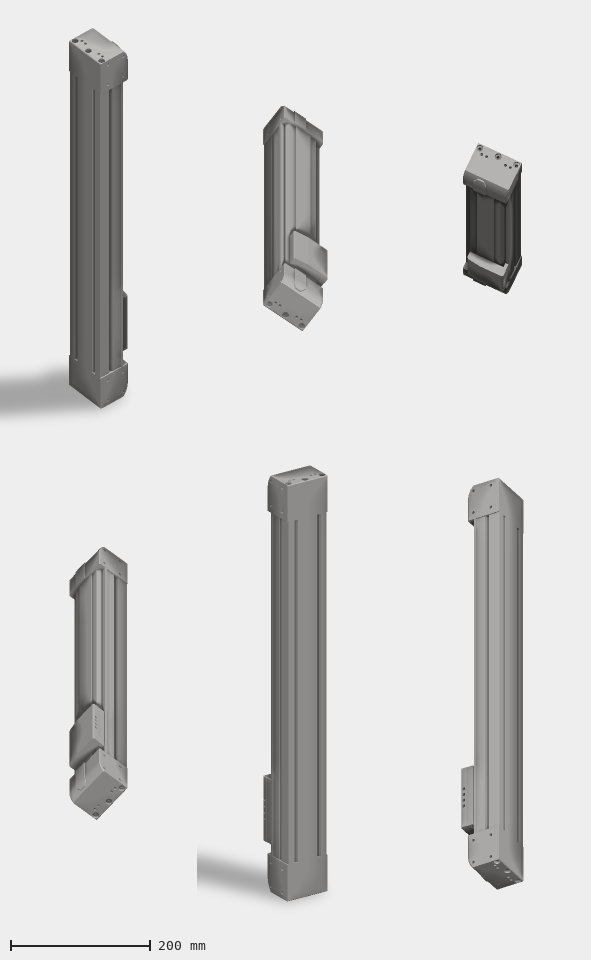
import cadquery as cq

LENGTH = 646.0
WIDTH = 69.0
HALF_WIDTH = WIDTH / 2

BLOCK_LENGTH = 57.0
BLOCK_DEPTH = 52.5
BLOCK_END_DEPTH = 44.5
NOSE_LENGTH = 19.5
NOSE_RADIUS = 32.0
BACK_CHAMFER = 1.0
FRONT_CHAMFER = 1.0

PAD_X = 8.0
PAD_WIDTH = 19.5
PAD_TIP_WIDTH = 10.0
PAD_START = 3.0
PAD_TAPER_END = 10.5
PAD_HEIGHT = 2.0

COVER_DIAMETER = 38.0
COVER_THICKNESS = 6.5
COVER_Y = 28.5
COVER_FROM_END = 27.0
COVER_HOLE_DIAMETER = 4.5
COVER_HOLE_DEPTH = 6.5
COVER_HOLE_SPACING_Y = 29.0
COVER_HOLE_SPACING_Z = 37.0

END_SCREW_SPACING = 29.0
END_SCREW_Y = 6.5
END_SCREW_DIAMETER = 4.5
END_SCREW_DEPTH = 16.0
END_SCREW_HEAD_DIAMETER = 10.0
END_SCREW_HEAD_DEPTH = 5.0
PORT_X = (15.0, 22.5)
PORT_Y = 13.5
PORT_DIAMETER = 4.15
PORT_DEPTH = 6.5

PROFILE_LENGTH = LENGTH - 2 * BLOCK_LENGTH
PROFILE_HALF_WIDTH = 33.0
LIP_Y = 39.0
LIP_THICKNESS = 3.0
LIP_TOP = LIP_Y + LIP_THICKNESS
DECK_Y = 48.5
DECK_HALF_WIDTH = 27.0
DECK_CHAMFER = 4.0
SLOT_WIDTH = 6.5
SLOT_DEPTH = 2.0
SLOT_CORE_WIDTH = 3.0
SLOT_CORE_DEPTH = 4.0
FRONT_SLOT_X = 19.5
SIDE_SLOT_Y = 20.5

BAND_WIDTH = 26.0
BAND_THICKNESS = 2.0
BAND_TOP = DECK_Y + BAND_THICKNESS

CARRIAGE_LENGTH = 99.5
CARRIAGE_Z = 123.5
CARRIAGE_TOP = 64.0
CARRIAGE_RIGHT = 24.0
SLOPE_START_X = 2.0
SLOPE_END_X = 21.0
SLOPE_END_Y = 61.5
RIGHT_EDGE_TOP = 59.5
FLANK_CHAMFER = 2.0
FLANK_STEP_Y = 54.0
FLANK_STEP = 0.5
FLANK_BOTTOM = 44.0
FLANK_INNER_X = -29.0
SIDE_HOLE_COUNT = 4
SIDE_HOLE_PITCH = 10.0
SIDE_HOLE_Y = 59.0
SIDE_HOLE_DIAMETER = 5.0
SIDE_HOLE_DEPTH = 6.5


def mirrored_to_top(body):
    """Reflect a body of the lower end to the upper end."""
    return body.mirror("XY").translate((0, 0, LENGTH))


def x_cylinder(diameter, x_start, length, y, z):
    """Cylinder along X from x_start; a negative length runs towards -X."""
    return cq.Workplane("YZ", origin=(x_start, y, z)).circle(diameter / 2).extrude(length)


def end_hole(diameter, depth, x, y):
    """Cutter for a hole rising from the outer face of the lower end block."""
    return cq.Workplane("XY", origin=(x, y, 0)).circle(diameter / 2).extrude(depth)


def block_blank(growth):
    """Lower end block without holes, its rounded back moved out by growth."""
    back = BLOCK_DEPTH + growth
    end_back = BLOCK_END_DEPTH + growth
    return (
        cq.Workplane("YZ")
        .lineTo(end_back, 0)
        .radiusArc((back, NOSE_LENGTH), -NOSE_RADIUS)
        .lineTo(back, BLOCK_LENGTH)
        .lineTo(0, BLOCK_LENGTH)
        .close()
        .extrude(HALF_WIDTH, both=True)
    )


def block_pad():
    """Raised strip on the back of the lower end block, narrowing towards the end."""
    outline = (
        cq.Workplane("XZ", origin=(PAD_X, BLOCK_END_DEPTH / 2, 0))
        .moveTo(-PAD_TIP_WIDTH / 2, PAD_START)
        .lineTo(PAD_TIP_WIDTH / 2, PAD_START)
        .lineTo(PAD_WIDTH / 2, PAD_TAPER_END)
        .lineTo(PAD_WIDTH / 2, BLOCK_LENGTH)
        .lineTo(-PAD_WIDTH / 2, BLOCK_LENGTH)
        .lineTo(-PAD_WIDTH / 2, PAD_TAPER_END)
        .close()
        .extrude(-BLOCK_DEPTH)
    )
    return block_blank(PAD_HEIGHT).intersect(outline)


def cover_holes(side):
    """Cutters for the four screw holes around the bearing cover on one side (-1 or 1)."""
    return [
        x_cylinder(
            COVER_HOLE_DIAMETER,
            side * HALF_WIDTH,
            -side * COVER_HOLE_DEPTH,
            COVER_Y + y_sign * COVER_HOLE_SPACING_Y / 2,
            COVER_FROM_END + z_sign * COVER_HOLE_SPACING_Z / 2,
        )
        for y_sign in (-1, 1)
        for z_sign in (-1, 1)
    ]


def make_block():
    """Lower end block with recesses for its two bearing covers."""
    block = block_blank(0)
    back_box = cq.selectors.BoxSelector(
        (-WIDTH, BLOCK_END_DEPTH, 0),
        (WIDTH, WIDTH, BLOCK_LENGTH),
    )
    block = block.faces("<X or >X").edges(back_box).chamfer(BACK_CHAMFER)
    block = block.faces("<Y").edges("<Z").chamfer(FRONT_CHAMFER)
    block = block.union(block_pad())

    for cover in make_covers():
        block = block.cut(cover)

    for side in (-1, 1):
        for hole in cover_holes(side):
            block = block.cut(hole)
        for x in PORT_X:
            block = block.cut(end_hole(PORT_DIAMETER, PORT_DEPTH, side * x, PORT_Y))

    for x in (-END_SCREW_SPACING, 0, END_SCREW_SPACING):
        block = block.cut(end_hole(END_SCREW_HEAD_DIAMETER, END_SCREW_HEAD_DEPTH, x, END_SCREW_Y))
        block = block.cut(end_hole(END_SCREW_DIAMETER, END_SCREW_DEPTH, x, END_SCREW_Y))
    return block


def make_covers():
    """Two bearing covers of the lower end block, flush with its sides."""
    return [
        x_cylinder(
            COVER_DIAMETER, side * HALF_WIDTH, -side * COVER_THICKNESS, COVER_Y, COVER_FROM_END
        )
        for side in (-1, 1)
    ]


def slot_cutter(out_x, out_y, x, y):
    """Stepped slot along the profile; out_x and out_y point out of the slot mouth."""
    plane = cq.Plane(
        origin=(x, y, BLOCK_LENGTH), xDir=(out_x, out_y, 0), normal=(0, 0, 1)
    )
    mouth = cq.Workplane(plane).rect(2 * SLOT_DEPTH, SLOT_WIDTH).extrude(PROFILE_LENGTH)
    core = cq.Workplane(plane).rect(2 * SLOT_CORE_DEPTH, SLOT_CORE_WIDTH).extrude(PROFILE_LENGTH)
    return mouth.union(core)


def make_profile():
    """Extruded beam between the end blocks, with stepped slots on three sides."""
    right_side = [
        (PROFILE_HALF_WIDTH, 0),
        (PROFILE_HALF_WIDTH, LIP_Y),
        (HALF_WIDTH, LIP_Y),
        (HALF_WIDTH, LIP_TOP),
        (DECK_HALF_WIDTH, LIP_TOP),
        (DECK_HALF_WIDTH, DECK_Y - DECK_CHAMFER),
        (DECK_HALF_WIDTH - DECK_CHAMFER, DECK_Y),
    ]
    left_side = [(-x, y) for x, y in reversed(right_side)]
    profile = (
        cq.Workplane("XY", origin=(0, 0, BLOCK_LENGTH))
        .polyline(right_side + left_side)
        .close()
        .extrude(PROFILE_LENGTH)
    )
    for side in (-1, 1):
        profile = profile.cut(slot_cutter(0, -1, side * FRONT_SLOT_X, 0))
        profile = profile.cut(slot_cutter(side, 0, side * PROFILE_HALF_WIDTH, SIDE_SLOT_Y))
    return profile


def make_band():
    """Thin cover band lying on the profile deck."""
    return (
        cq.Workplane("XY", origin=(0, DECK_Y + BAND_THICKNESS / 2, BLOCK_LENGTH))
        .rect(BAND_WIDTH, BAND_THICKNESS)
        .extrude(PROFILE_LENGTH)
    )


def make_carriage():
    """Carriage resting on the band, with a flank hanging down over the -X side."""
    flank_x = -HALF_WIDTH + FLANK_STEP
    carriage = (
        cq.Workplane("XY", origin=(0, 0, CARRIAGE_Z - CARRIAGE_LENGTH / 2))
        .moveTo(-HALF_WIDTH + FLANK_CHAMFER, CARRIAGE_TOP)
        .lineTo(SLOPE_START_X, CARRIAGE_TOP)
        .lineTo(SLOPE_END_X, SLOPE_END_Y)
        .lineTo(CARRIAGE_RIGHT, RIGHT_EDGE_TOP)
        .lineTo(CARRIAGE_RIGHT, BAND_TOP)
        .lineTo(FLANK_INNER_X, BAND_TOP)
        .lineTo(FLANK_INNER_X, FLANK_BOTTOM)
        .lineTo(flank_x, FLANK_BOTTOM)
        .lineTo(flank_x, FLANK_STEP_Y)
        .lineTo(-HALF_WIDTH, FLANK_STEP_Y)
        .lineTo(-HALF_WIDTH, CARRIAGE_TOP - FLANK_CHAMFER)
        .close()
        .extrude(CARRIAGE_LENGTH)
    )
    for index in range(SIDE_HOLE_COUNT):
        z = CARRIAGE_Z + (index - (SIDE_HOLE_COUNT - 1) / 2) * SIDE_HOLE_PITCH
        carriage = carriage.cut(
            x_cylinder(SIDE_HOLE_DIAMETER, -HALF_WIDTH, SIDE_HOLE_DEPTH, SIDE_HOLE_Y, z)
        )
    return carriage


profile = make_profile()
band = make_band()
carriage = make_carriage()
lower_block = make_block()
blocks = [lower_block, mirrored_to_top(lower_block)]
lower_covers = make_covers()
covers = lower_covers + [mirrored_to_top(cover) for cover in lower_covers]

bodies = [profile, band, carriage] + blocks + covers
result = cq.Compound.makeCompound([body.solids().val() for body in bodies])